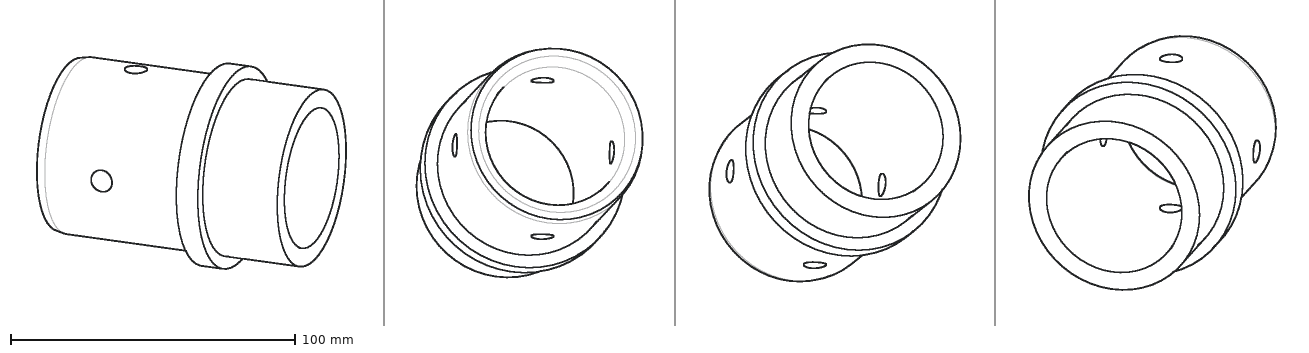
import cadquery as cq

length = 92.0
body_diameter = 63.0
bore_diameter = 50.0
body_radius = body_diameter / 2
bore_radius = bore_diameter / 2

collar_diameter = 72.0
collar_start = 55.4
collar_width = 8.2

taper_length = 3.2
taper_depth = 0.6
entry_radius = 3.2

plug_count = 4
plug_diameter = 8.0
plug_position = 25.0
plug_overhang = 0.1


def make_sleeve():
    """Revolve the collared tube, with its tapered nose and rounded bore entry."""
    collar_end = collar_start + collar_width
    collar_radius = collar_diameter / 2
    return (
        cq.Workplane("XY")
        .moveTo(0, bore_radius + entry_radius)
        .lineTo(0, body_radius - taper_depth)
        .lineTo(taper_length, body_radius)
        .lineTo(collar_start, body_radius)
        .lineTo(collar_start, collar_radius)
        .lineTo(collar_end, collar_radius)
        .lineTo(collar_end, body_radius)
        .lineTo(length, body_radius)
        .lineTo(length, bore_radius)
        .lineTo(entry_radius, bore_radius)
        .radiusArc((0, bore_radius + entry_radius), entry_radius)
        .close()
        .revolve(360, (0, 0, 0), (1, 0, 0))
    )


def make_plug():
    """Build the top plug: its curved ends follow the tube and stand slightly proud of the wall."""
    ring = (
        cq.Workplane("YZ")
        .circle(body_radius + plug_overhang)
        .circle(bore_radius - plug_overhang)
        .extrude(length)
    )
    pin = (
        cq.Workplane("XY", origin=(plug_position, 0, 0))
        .circle(plug_diameter / 2)
        .extrude(body_diameter)
    )
    return ring.intersect(pin)


result = make_sleeve()
for index in range(plug_count):
    angle = index * 360 / plug_count
    result = result.union(make_plug().rotate((0, 0, 0), (1, 0, 0), angle))